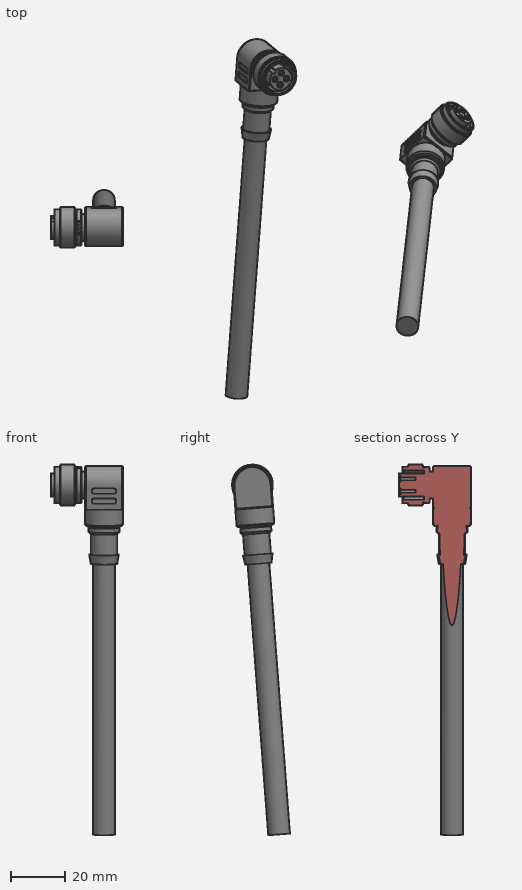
import cadquery as cq
import math


NOSE_X = -19.48
CABLE_TILT = 4.36
CABLE_DROP = 128.76

BODY_R = 7.0
BODY_BOTTOM = -8.6
BODY_CHAMFER = 0.4

GRIP_LENGTH = 9.1
GRIP_WIDTH = 2.0
GRIP_DEPTH = 0.5
GRIP_HEIGHTS = (-1.75, -5.45)

SLEEVE_R = BODY_R
SLEEVE_BOTTOM = -15.1
SLEEVE_CHAMFER = 0.6
GROOVE_R = 5.5
FLANGE_R = 5.75
FLANGE_TOP = -15.7
FLANGE_BOTTOM = -17.2
TUBE_R = 4.9
TUBE_TOP = -18.0
COLLAR_TOP = -25.6
COLLAR_TOP_R = 5.5
COLLAR_BOTTOM = -29.0
COLLAR_BOTTOM_R = 4.9
CABLE_R = 4.05

RING_R = 6.75
RING_FRONT = -18.3
RING_CHAMFER = 0.2
NUT_R = 7.55
NUT_FRONT = -16.2
NUT_BACK = -10.6
NUT_CHAMFER = 0.4
NUT_GROOVE_R = 6.5
NUT_GROOVE_WIDTH = 0.6
RING_BACK = -8.1
RING_BACK_CHAMFER = 0.5
NECK_R = 5.0

CAVITY_R = 5.4
CAVITY_DEPTH = 8.0
CAVITY_CHAMFER = 0.6

INSERT_R = 4.3
SOCKET_COUNT = 4
SOCKET_CIRCLE_R = 2.3
SOCKET_R = 0.5
SOCKET_DEPTH = 6.0
SOCKET_MOUTH_R = 1.1
SOCKET_MOUTH_DEPTH = 0.5
KEYWAY_ANGLE = 45.0
KEYWAY_R = 0.8
KEYWAY_LENGTH = 6.0

NOTCH_COUNT = 4
NOTCH_PITCH = 13.0
NOTCH_MIDDLE = -3.3
NOTCH_WIDTH = 0.7
NOTCH_LENGTH = 1.5
NOTCH_DEPTH = 0.4


def rod_x(radius, start, length, y=0, z=0):
    """Cylinder along +X from x = start."""
    return cq.Workplane("YZ", origin=(start, y, z)).circle(radius).extrude(length)


def make_body():
    """Block with a round top, running along X, with chamfered ends."""
    return (
        cq.Workplane("YZ", origin=(-BODY_R, 0, 0))
        .moveTo(-BODY_R, BODY_BOTTOM)
        .lineTo(BODY_R, BODY_BOTTOM)
        .lineTo(BODY_R, 0)
        .threePointArc((0, BODY_R), (-BODY_R, 0))
        .close()
        .extrude(2 * BODY_R)
        .faces("<X or >X")
        .chamfer(BODY_CHAMFER)
    )


def cut_grips(body):
    """Two rounded recesses on each flat side."""
    for side in (-1, 1):
        floor_y = side * (BODY_R - GRIP_DEPTH)
        for height in GRIP_HEIGHTS:
            grip = (
                cq.Workplane("XZ", origin=(0, floor_y, height))
                .slot2D(GRIP_LENGTH, GRIP_WIDTH)
                .extrude(-side * 2 * GRIP_DEPTH)
            )
            body = body.cut(grip)
    return body


def make_cable():
    """Sleeve, strain relief and cable as one turned shape about Z."""
    profile = [
        (0, BODY_BOTTOM),
        (SLEEVE_R, BODY_BOTTOM),
        (SLEEVE_R, SLEEVE_BOTTOM + SLEEVE_CHAMFER),
        (SLEEVE_R - SLEEVE_CHAMFER, SLEEVE_BOTTOM),
        (GROOVE_R, SLEEVE_BOTTOM),
        (GROOVE_R, FLANGE_TOP),
        (FLANGE_R, FLANGE_TOP),
        (FLANGE_R, FLANGE_BOTTOM),
        (TUBE_R, TUBE_TOP),
        (TUBE_R, COLLAR_TOP),
        (COLLAR_TOP_R, COLLAR_TOP),
        (COLLAR_BOTTOM_R, COLLAR_BOTTOM),
        (CABLE_R, COLLAR_BOTTOM),
        (CABLE_R, -CABLE_DROP),
        (0, -CABLE_DROP),
    ]
    return cq.Workplane("XZ").polyline(profile).close().revolve(360, (0, 0), (0, 1))


def make_coupling():
    """Neck and coupling nut, turned about X, with the cavity open to the front."""
    groove_back = NUT_BACK + NUT_GROOVE_WIDTH
    cavity_floor = RING_FRONT + CAVITY_DEPTH
    profile = [
        (cavity_floor, 0),
        (cavity_floor, CAVITY_R),
        (RING_FRONT + CAVITY_CHAMFER, CAVITY_R),
        (RING_FRONT, CAVITY_R + CAVITY_CHAMFER),
        (RING_FRONT, RING_R - RING_CHAMFER),
        (RING_FRONT + RING_CHAMFER, RING_R),
        (NUT_FRONT, RING_R),
        (NUT_FRONT, NUT_R - NUT_CHAMFER),
        (NUT_FRONT + NUT_CHAMFER, NUT_R),
        (NUT_BACK - NUT_CHAMFER, NUT_R),
        (NUT_BACK, NUT_R - NUT_CHAMFER),
        (NUT_BACK, NUT_GROOVE_R),
        (groove_back, NUT_GROOVE_R),
        (groove_back, RING_R),
        (RING_BACK - RING_BACK_CHAMFER, RING_R),
        (RING_BACK, RING_R - RING_BACK_CHAMFER),
        (RING_BACK, NECK_R),
        (-BODY_R, NECK_R),
        (-BODY_R, 0),
    ]
    return cq.Workplane("XY").polyline(profile).close().revolve(360, (0, 0), (1, 0))


def cut_notches(coupling):
    """Short notches across the top of the rear ring, open to its back face."""
    for index in range(NOTCH_COUNT):
        angle = NOTCH_MIDDLE + (index - (NOTCH_COUNT - 1) / 2) * NOTCH_PITCH
        notch = (
            cq.Workplane("XY")
            .box(NOTCH_LENGTH, NOTCH_WIDTH, 2 * NOTCH_DEPTH)
            .translate((RING_BACK - NOTCH_LENGTH / 2, 0, RING_R))
            .rotate((0, 0, 0), (1, 0, 0), angle)
        )
        coupling = coupling.cut(notch)
    return coupling


def make_insert():
    """Round contact carrier with stepped sockets and a keyway along its side."""
    length = RING_FRONT + CAVITY_DEPTH - NOSE_X
    insert = rod_x(INSERT_R, NOSE_X, length)
    for index in range(SOCKET_COUNT):
        angle = 2 * math.pi * index / SOCKET_COUNT
        y = SOCKET_CIRCLE_R * math.cos(angle)
        z = SOCKET_CIRCLE_R * math.sin(angle)
        insert = insert.cut(rod_x(SOCKET_R, NOSE_X, SOCKET_DEPTH, y, z))
        insert = insert.cut(rod_x(SOCKET_MOUTH_R, NOSE_X, SOCKET_MOUTH_DEPTH, y, z))
    key_y = INSERT_R * math.cos(math.radians(KEYWAY_ANGLE))
    key_z = INSERT_R * math.sin(math.radians(KEYWAY_ANGLE))
    return insert.cut(rod_x(KEYWAY_R, NOSE_X, KEYWAY_LENGTH, key_y, key_z))


body = cut_grips(make_body())
coupling = cut_notches(make_coupling())
part = body.union(make_cable()).union(coupling).union(make_insert())
result = part.rotate((0, 0, 0), (1, 0, 0), CABLE_TILT)